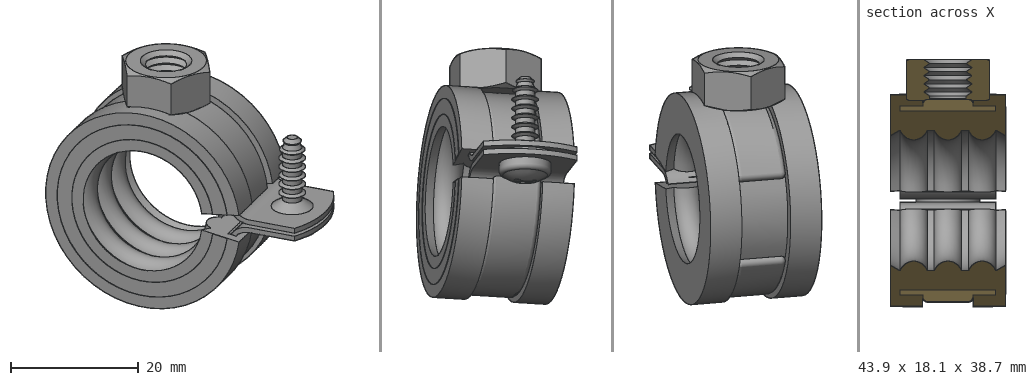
import cadquery as cq
import math


LINING_WIDTH = 18.02
LINING_RADIUS = 16.6
LIP_RADIUS = 10.17
BORE_FLOOR_RADIUS = 11.05
RIB_TIP_RADIUS = 9.55
RIB_WIDTH = 4.3
RIB_PITCH = 5.35
CHANNEL_WIDTH = 7.9
GAP_HALF_ANGLE = 7.9

RING_INNER_RADIUS = 12.1
RING_OUTER_RADIUS = 14.6
RING_THICKNESS = 0.1

BAND_WIDTH = 15.0
BAND_THICKNESS = 0.85
BAND_RADIUS = 14.9
BEAD_RADIUS = 15.9
BEAD_ROUNDING = 0.75
BEAD_FIRST_ANGLE = 5.0
BEAD_LAST_ANGLE = 154.8
EAR_END_X = 27.25
EAR_CORNER_X = 25.3
EAR_BEND_X = 17.5
EAR_BEND_RADIUS = 2.85
EAR_BEND_START = 10.0

WASHER_RADIUS = 5.0
WASHER_THICKNESS = 0.53
EAR_OUTER_Z = WASHER_THICKNESS / 2 + BAND_THICKNESS

SCREW_X = 21.57
SHANK_RADIUS = 1.55
COLLAR_RADIUS = 3.3
HEAD_RADIUS = 4.08
HEAD_SIDE_HEIGHT = 1.05
HEAD_SHOULDER_RADIUS = 3.5
HEAD_SHOULDER_HEIGHT = 1.85
HEAD_HEIGHT = 3.0
SLOT_WIDTH = 1.2
SLOT_DEPTH = 0.25
SCREW_THREAD_PITCH = 1.5
SCREW_THREAD_START_Z = 1.95
SCREW_THREAD_RADII = [2.1] * 6 + [2.0, 1.45]
SCREW_THREAD_HALF_HEIGHT = 0.35
SCREW_NECK_RADIUS = 1.2
SCREW_TIP_RADIUS = 0.85
SCREW_TIP_Z = 12.95

NUT_ACROSS_FLATS = 13.02
NUT_TOP_Z = 22.05
NUT_HEIGHT = 6.45
NUT_BOTTOM_Z = NUT_TOP_Z - NUT_HEIGHT
NUT_FACE_RADIUS = 6.3
NUT_CHAMFER_ANGLE = 25.0
NUT_MINOR_RADIUS = 3.2
NUT_MAJOR_RADIUS = 4.05
NUT_THREAD_PITCH = 1.25
NUT_THREAD_TURNS = 5


def ring(inner_radius, outer_radius, width):
    """Ring around the Y axis, centred on y = 0."""
    return (
        cq.Workplane("XZ").circle(outer_radius).circle(inner_radius).extrude(width / 2, both=True)
    )


def sector(first_angle, last_angle, width):
    """Wedge around the Y axis between two angles, measured from +X towards +Z."""
    reach = 2 * LINING_RADIUS
    middle_angle = (first_angle + last_angle) / 2

    def rim_point(angle):
        return (reach * math.cos(math.radians(angle)), reach * math.sin(math.radians(angle)))

    return (
        cq.Workplane("XZ")
        .lineTo(*rim_point(first_angle))
        .threePointArc(rim_point(middle_angle), rim_point(last_angle))
        .close()
        .extrude(width / 2, both=True)
    )


def open_gap(body):
    """Cut the opening on the +X side out of a ring-shaped body."""
    return body.cut(sector(-GAP_HALF_ANGLE, GAP_HALF_ANGLE, 2 * LINING_WIDTH))


def screw_hole():
    return cq.Workplane("XY").center(SCREW_X, 0).circle(SHANK_RADIUS).extrude(LINING_RADIUS, both=True)


def make_upper_bead():
    """Raised, rounded stiffening bead on the upper half of the band."""
    blank = ring(BAND_RADIUS, BEAD_RADIUS, CHANNEL_WIDTH)
    bead = blank.intersect(sector(BEAD_FIRST_ANGLE, BEAD_LAST_ANGLE, CHANNEL_WIDTH))
    bead = bead.faces("<X").edges("#Y").fillet(BEAD_ROUNDING)
    top_point = cq.selectors.NearestToPointSelector((0, 0, BEAD_RADIUS))
    return bead.faces(top_point).edges("not(>X)").fillet(BEAD_ROUNDING)


def make_upper_ear():
    """Ear that bends out of the upper end of the band and ends in an arc."""
    outer_bend = EAR_BEND_RADIUS
    inner_bend = EAR_BEND_RADIUS + BAND_THICKNESS
    bend_centre_z = EAR_OUTER_Z + EAR_BEND_RADIUS

    def bend_point(radius, angle):
        return (
            EAR_BEND_X - radius * math.cos(math.radians(angle)),
            bend_centre_z - radius * math.sin(math.radians(angle)),
        )

    middle_angle = (EAR_BEND_START + 90) / 2
    profile = (
        cq.Workplane("XZ")
        .moveTo(*bend_point(outer_bend, EAR_BEND_START))
        .threePointArc(bend_point(outer_bend, middle_angle), bend_point(outer_bend, 90))
        .lineTo(EAR_END_X, EAR_OUTER_Z)
        .lineTo(EAR_END_X, EAR_OUTER_Z - BAND_THICKNESS)
        .lineTo(EAR_BEND_X, EAR_OUTER_Z - BAND_THICKNESS)
        .threePointArc(bend_point(inner_bend, middle_angle), bend_point(inner_bend, EAR_BEND_START))
        .close()
        .extrude(BAND_WIDTH / 2, both=True)
    )
    outline = (
        cq.Workplane("XY")
        .moveTo(0, -BAND_WIDTH / 2)
        .lineTo(EAR_CORNER_X, -BAND_WIDTH / 2)
        .threePointArc((EAR_END_X, 0), (EAR_CORNER_X, BAND_WIDTH / 2))
        .lineTo(0, BAND_WIDTH / 2)
        .close()
        .extrude(LINING_RADIUS)
    )
    return profile.intersect(outline)


def make_band():
    band = open_gap(ring(BAND_RADIUS - BAND_THICKNESS, BAND_RADIUS, BAND_WIDTH))
    for upper_part in (make_upper_bead(), make_upper_ear()):
        band = band.union(upper_part).union(upper_part.mirror("XY"))
    return band.cut(screw_hole())


def make_lining(band):
    """Rubber ring with three round ribs in the bore, wrapped around the band, with a seat for the nut."""
    half_width = LINING_WIDTH / 2
    half_rib = RIB_WIDTH / 2
    profile = cq.Workplane("XY").moveTo(LINING_RADIUS, -half_width).lineTo(LIP_RADIUS, -half_width)
    for rib_y in (-RIB_PITCH, 0, RIB_PITCH):
        profile = profile.lineTo(BORE_FLOOR_RADIUS, rib_y - half_rib).threePointArc(
            (RIB_TIP_RADIUS, rib_y), (BORE_FLOOR_RADIUS, rib_y + half_rib)
        )
    lining = (
        profile.lineTo(LIP_RADIUS, half_width)
        .lineTo(LINING_RADIUS, half_width)
        .close()
        .revolve(360, (0, 0, 0), (0, 1, 0))
    )
    lining = lining.cut(ring(BAND_RADIUS, 2 * LINING_RADIUS, CHANNEL_WIDTH))
    return open_gap(lining).cut(band).cut(nut_blank())


def make_marking_ring():
    marking_ring = open_gap(ring(RING_INNER_RADIUS, RING_OUTER_RADIUS, RING_THICKNESS))
    return marking_ring.translate((0, -(LINING_WIDTH + RING_THICKNESS) / 2, 0))


def make_washer():
    washer = (
        cq.Workplane("XY", origin=(0, 0, -WASHER_THICKNESS / 2))
        .center(SCREW_X, 0)
        .circle(WASHER_RADIUS)
        .extrude(WASHER_THICKNESS)
    )
    return washer.cut(screw_hole())


def dome_points(lowest_z, rim_radius, height):
    """Middle and end points of a dome arc that starts on the axis at its lowest point."""
    dome_radius = (rim_radius**2 + height**2) / (2 * height)
    half_angle = math.asin(rim_radius / dome_radius) / 2
    middle = (
        dome_radius * math.sin(half_angle),
        lowest_z + dome_radius * (1 - math.cos(half_angle)),
    )
    return middle, (rim_radius, lowest_z + height)


def make_screw():
    """Slotted screw with its head below the ears and its threads as separate ridges."""
    head_top_z = -EAR_OUTER_Z
    head_end_z = head_top_z - HEAD_HEIGHT
    shoulder_width = HEAD_RADIUS - HEAD_SHOULDER_RADIUS
    shoulder_drop = HEAD_SHOULDER_HEIGHT - HEAD_SIDE_HEIGHT
    shoulder_middle = (
        HEAD_SHOULDER_RADIUS + shoulder_width * math.sin(math.radians(45)),
        head_top_z - HEAD_SIDE_HEIGHT - shoulder_drop * math.sin(math.radians(45)),
    )
    dome_middle, dome_rim = dome_points(
        head_end_z, HEAD_SHOULDER_RADIUS, HEAD_HEIGHT - HEAD_SHOULDER_HEIGHT
    )
    last_thread = len(SCREW_THREAD_RADII) - 1
    profile = (
        cq.Workplane("XZ")
        .moveTo(0, head_end_z)
        .threePointArc(dome_middle, dome_rim)
        .threePointArc(shoulder_middle, (HEAD_RADIUS, head_top_z - HEAD_SIDE_HEIGHT))
        .lineTo(HEAD_RADIUS, head_top_z)
        .lineTo(SHANK_RADIUS, head_top_z)
        .lineTo(SHANK_RADIUS, EAR_OUTER_Z)
        .lineTo(COLLAR_RADIUS, EAR_OUTER_Z)
    )
    for index, tip_radius in enumerate(SCREW_THREAD_RADII):
        thread_z = SCREW_THREAD_START_Z + index * SCREW_THREAD_PITCH
        if index == last_thread:
            profile = profile.lineTo(SCREW_NECK_RADIUS, thread_z - SCREW_THREAD_HALF_HEIGHT)
        elif index > 0:
            profile = profile.lineTo(SHANK_RADIUS, thread_z - SCREW_THREAD_HALF_HEIGHT)
        profile = profile.lineTo(tip_radius, thread_z)
        if index < last_thread:
            profile = profile.lineTo(SHANK_RADIUS, thread_z + SCREW_THREAD_HALF_HEIGHT)
    screw = (
        profile.lineTo(SCREW_TIP_RADIUS, SCREW_TIP_Z)
        .lineTo(0, SCREW_TIP_Z)
        .close()
        .revolve(360, (0, 0, 0), (0, 1, 0))
    )
    slot = (
        cq.Workplane("XY", origin=(0, 0, head_end_z))
        .rect(SLOT_WIDTH, 2 * HEAD_RADIUS)
        .extrude(SLOT_DEPTH)
    )
    return screw.cut(slot).translate((SCREW_X, 0, 0))


def nut_blank():
    """Solid hexagon with conical chamfers at both ends."""
    corner_radius = NUT_ACROSS_FLATS / math.sqrt(3)
    chamfer_height = (corner_radius - NUT_FACE_RADIUS) * math.tan(math.radians(NUT_CHAMFER_ANGLE))
    hexagon = (
        cq.Workplane("XY", origin=(0, 0, NUT_BOTTOM_Z))
        .polygon(6, 2 * corner_radius)
        .extrude(NUT_HEIGHT)
    )
    envelope = (
        cq.Workplane("XZ")
        .moveTo(0, NUT_BOTTOM_Z)
        .lineTo(NUT_FACE_RADIUS, NUT_BOTTOM_Z)
        .lineTo(corner_radius, NUT_BOTTOM_Z + chamfer_height)
        .lineTo(corner_radius, NUT_TOP_Z - chamfer_height)
        .lineTo(NUT_FACE_RADIUS, NUT_TOP_Z)
        .lineTo(0, NUT_TOP_Z)
        .close()
        .revolve(360, (0, 0, 0), (0, 1, 0))
    )
    return hexagon.intersect(envelope)


def make_nut(band):
    """Nut with V-shaped thread grooves, seated on the bead of the band."""
    profile = cq.Workplane("XZ").moveTo(0, NUT_TOP_Z)
    for turn in range(NUT_THREAD_TURNS):
        groove_z = NUT_TOP_Z - turn * NUT_THREAD_PITCH
        profile = profile.lineTo(NUT_MAJOR_RADIUS, groove_z).lineTo(
            NUT_MINOR_RADIUS, groove_z - NUT_THREAD_PITCH / 2
        )
    threaded_hole = (
        profile.lineTo(NUT_MINOR_RADIUS, NUT_BOTTOM_Z)
        .lineTo(0, NUT_BOTTOM_Z)
        .close()
        .revolve(360, (0, 0, 0), (0, 1, 0))
    )
    return nut_blank().cut(threaded_hole).cut(band)


band = make_band()
nut = make_nut(band)
lining = make_lining(band)
marking_ring = make_marking_ring()
washer = make_washer()
screw = make_screw()

result = cq.Compound.makeCompound(
    [band.val(), nut.val(), lining.val(), marking_ring.val(), washer.val(), screw.val()]
)